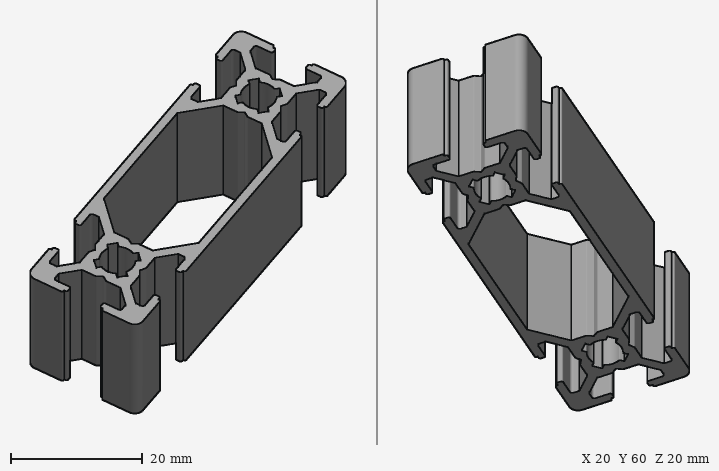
import cadquery as cq
import math

LENGTH = 60.0
MODULE = LENGTH / 3
HEIGHT = MODULE
CORE_SPACING = LENGTH - MODULE
WALL = 1.5
RIB = 1.55
CORNER_RADIUS = 1.5

CORE_HALF = 4.55
GROOVE_HALF_WIDTH = 0.9
GROOVE_SLOPE = math.radians(33)
GROOVE_EDGE_RADIUS = 0.35
GROOVE_FLOOR_RADIUS = 0.2

SLOT_MOUTH_HALF = 2.95
SLOT_CHAMBER_HALF = 6.0
SLOT_CORNER_RADIUS = 0.4
LIP_STEP_WIDTH = 0.55
LIP_STEP_DEPTH = 0.4
LIP_TIP_RADIUS = 0.3
LIP_EDGE_RADIUS = 0.25

BORE_RADIUS = 2.75
RELIEF_WIDTH = 1.6
RELIEF_LENGTH = 6.9
RELIEF_EDGE_RADIUS = 0.1

RIB_SHIFT = RIB / math.sqrt(2)
INNER_HALF = MODULE / 2 - WALL


def prism(outline):
    """Extrude a closed outline through the full height, centred on Z = 0."""
    return outline.extrude(HEIGHT / 2, both=True)


def groove_half(face, direction):
    """Outline of half a V groove, from its floor on the Y axis out to the core face at Y = face.

    The groove is cut towards direction (+1 or -1) along Y.
    """
    sine = math.sin(GROOVE_SLOPE)
    rise = 1 - math.cos(GROOVE_SLOPE)
    tangent_length = math.tan(GROOVE_SLOPE / 2)
    floor_x = GROOVE_FLOOR_RADIUS * sine
    edge_end = GROOVE_HALF_WIDTH + GROOVE_EDGE_RADIUS * tangent_length
    edge_x = edge_end - GROOVE_EDGE_RADIUS * sine
    edge_depth = GROOVE_EDGE_RADIUS * rise
    floor_top = (GROOVE_HALF_WIDTH - floor_x) * math.tan(GROOVE_SLOPE)
    floor_depth = floor_top + GROOVE_FLOOR_RADIUS * rise
    return (
        cq.Workplane("XY")
        .moveTo(0, face + direction * floor_depth)
        .radiusArc((floor_x, face + direction * floor_top), direction * GROOVE_FLOOR_RADIUS)
        .lineTo(edge_x, face + direction * edge_depth)
        .radiusArc((edge_end, face), -direction * GROOVE_EDGE_RADIUS)
    )


def make_body():
    return prism(cq.Workplane("XY").rect(MODULE, LENGTH)).edges("|Z").fillet(CORNER_RADIUS)


def make_slot():
    """T-slot of a module centred on the origin, opening towards +Y."""
    surface = MODULE / 2
    step_floor = surface - LIP_STEP_DEPTH
    step_half = SLOT_MOUTH_HALF + LIP_STEP_WIDTH
    tip_edge = SLOT_MOUTH_HALF + LIP_TIP_RADIUS
    half_outline = (
        groove_half(CORE_HALF, -1)
        .lineTo(CORE_HALF - RIB_SHIFT, CORE_HALF)
        .lineTo(SLOT_CHAMBER_HALF, SLOT_CHAMBER_HALF + RIB_SHIFT)
        .lineTo(SLOT_CHAMBER_HALF, INNER_HALF - SLOT_CORNER_RADIUS)
        .radiusArc((SLOT_CHAMBER_HALF - SLOT_CORNER_RADIUS, INNER_HALF), -SLOT_CORNER_RADIUS)
        .lineTo(tip_edge, INNER_HALF)
        .radiusArc((SLOT_MOUTH_HALF, INNER_HALF + LIP_TIP_RADIUS), LIP_TIP_RADIUS)
        .lineTo(SLOT_MOUTH_HALF, step_floor - LIP_TIP_RADIUS)
        .radiusArc((tip_edge, step_floor), LIP_TIP_RADIUS)
        .lineTo(step_half, step_floor)
        .lineTo(step_half, surface - LIP_EDGE_RADIUS)
        .radiusArc((step_half + LIP_EDGE_RADIUS, surface), LIP_EDGE_RADIUS)
        .lineTo(0, surface)
    )
    return prism(half_outline.mirrorY())


def make_bore():
    bore = prism(cq.Workplane("XY").circle(BORE_RADIUS))
    for angle in (0, 90):
        relief = prism(cq.Workplane("XY").rect(RELIEF_LENGTH, RELIEF_WIDTH))
        bore = bore.union(relief.rotate((0, 0, 0), (0, 0, 1), angle))
    reach = RELIEF_LENGTH / 2 - RELIEF_EDGE_RADIUS
    inner_edges = cq.selectors.BoxSelector((-reach, -reach, -HEIGHT), (reach, reach, HEIGHT))
    bore = bore.edges("|Z").edges(inner_edges).fillet(RELIEF_EDGE_RADIUS)
    return bore.rotate((0, 0, 0), (0, 0, 1), 45)


def make_cavity():
    """Eight-sided middle cavity, with the core's V groove at each end."""
    core_face = CORE_SPACING / 2 - CORE_HALF
    side_end = CORE_SPACING / 2 - INNER_HALF - RIB_SHIFT
    half_outline = (
        groove_half(core_face, 1)
        .lineTo(CORE_HALF - RIB_SHIFT, core_face)
        .lineTo(INNER_HALF, side_end)
        .lineTo(INNER_HALF, 0)
        .lineTo(0, 0)
    )
    half_cavity = prism(half_outline.mirrorY())
    return half_cavity.union(half_cavity.mirror("XZ"))


def make_end_module():
    """Everything removed from the +Y end module: its bore and three slots."""
    cutter = make_bore()
    for angle in (-90, 0, 90):
        cutter = cutter.union(make_slot().rotate((0, 0, 0), (0, 0, 1), angle))
    return cutter.translate((0, CORE_SPACING / 2, 0))


end_module = make_end_module()
result = make_body().cut(make_cavity())
for turn in (0, 180):
    result = result.cut(end_module.rotate((0, 0, 0), (0, 0, 1), turn))